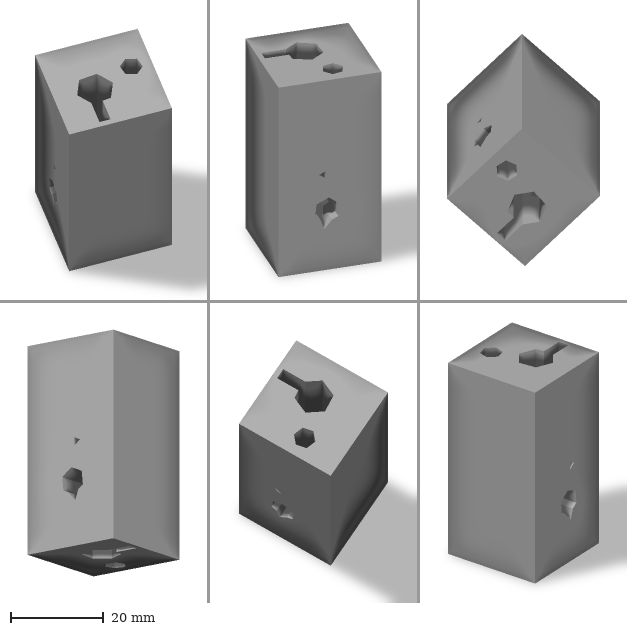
import cadquery as cq
import math

WIDTH = 23.4
HEIGHT = 46.6

MAIN_BORE_CENTER = (1.35, -2.4)
MAIN_BORE_RADIUS = 4.25
MAIN_BORE_ANGLE = 96
SIDE_BORE_CENTER = (-2.15, 7.05)
SIDE_BORE_RADIUS = 2.45
SIDE_BORE_ANGLE = 72

SLOT_END_X = 10.45
SLOT_CENTER_Y = -3.1
SLOT_WIDTH = 2.5

CROSS_BORE_CENTER = (0.55, -8.65)
CROSS_BORE_RADIUS = 3.08
CROSS_BORE_ANGLE = 96
PIN_HOLE_CENTER = (1.55, 0.15)
PIN_HOLE_RADIUS = 1.05
PIN_HOLE_ANGLE = 125

NOTCH_TIP = (1.3, -13.2)
NOTCH_RADIUS = 1.95
NOTCH_TIP_ANGLE = 281


def polar_point(center, radius, angle):
    """Point at the given distance and direction from a centre."""
    turn = math.radians(angle)
    return (center[0] + radius * math.cos(turn), center[1] + radius * math.sin(turn))


def polygon_hole(plane, length, sides, center, radius, corner_angle):
    """Regular prism reaching through the block along the plane's normal."""
    corners = [
        polar_point(center, radius, corner_angle + 360 * index / sides)
        for index in range(sides)
    ]
    return cq.Workplane(plane).polyline(corners).close().extrude(length / 2, both=True)


def vertical_hole(center, radius, corner_angle):
    return polygon_hole("XY", HEIGHT, 6, center, radius, corner_angle)


def cross_hole(sides, center, radius, corner_angle):
    return polygon_hole("XZ", WIDTH, sides, center, radius, corner_angle)


def slot():
    """Straight slot through the full height, starting inside the main bore."""
    start_x = MAIN_BORE_CENTER[0]
    length = SLOT_END_X - start_x
    middle = (start_x + length / 2, SLOT_CENTER_Y)
    return cq.Workplane("XY").center(*middle).box(length, SLOT_WIDTH, HEIGHT)


notch_center = polar_point(NOTCH_TIP, NOTCH_RADIUS, NOTCH_TIP_ANGLE + 180)

result = (
    cq.Workplane("XY")
    .box(WIDTH, WIDTH, HEIGHT)
    .cut(vertical_hole(MAIN_BORE_CENTER, MAIN_BORE_RADIUS, MAIN_BORE_ANGLE))
    .cut(vertical_hole(SIDE_BORE_CENTER, SIDE_BORE_RADIUS, SIDE_BORE_ANGLE))
    .cut(slot())
    .cut(cross_hole(6, CROSS_BORE_CENTER, CROSS_BORE_RADIUS, CROSS_BORE_ANGLE))
    .cut(cross_hole(3, PIN_HOLE_CENTER, PIN_HOLE_RADIUS, PIN_HOLE_ANGLE))
    .cut(cross_hole(3, notch_center, NOTCH_RADIUS, NOTCH_TIP_ANGLE))
)